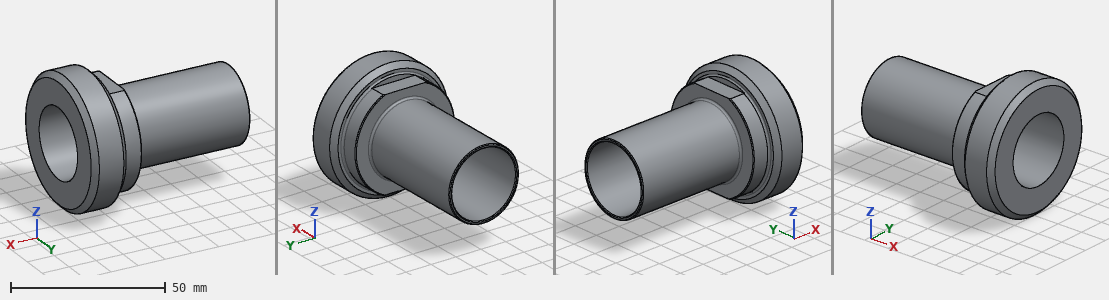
import cadquery as cq

total_length = 63.5
collar_start = 43.5
flange_start = 50.5
flats_end = 50.0

bore_diameter = 25.6
tube_diameter = 28.0
collar_diameter = 39.95
flange_diameter = 47.7
across_flats = 36.0

tube_chamfer = 0.3
bore_chamfer = 0.3
collar_chamfer = 0.3
flange_chamfer = 2.0
root_fillet = 0.75

tube_radius = tube_diameter / 2
collar_radius = collar_diameter / 2
flange_radius = flange_diameter / 2


def cylinder(radius, start, end):
    """Solid cylinder around the X axis between two axial positions."""
    return cq.Workplane("YZ", origin=(start, 0, 0)).circle(radius).extrude(end - start)


def turned_body():
    """Tube, collar and flange with their chamfers and root fillets."""
    profile = (
        cq.Workplane("XY")
        .moveTo(0, 0)
        .lineTo(0, tube_radius - tube_chamfer)
        .lineTo(tube_chamfer, tube_radius)
        .lineTo(collar_start - root_fillet, tube_radius)
        .radiusArc((collar_start, tube_radius + root_fillet), -root_fillet)
        .lineTo(collar_start, collar_radius - collar_chamfer)
        .lineTo(collar_start + collar_chamfer, collar_radius)
        .lineTo(flange_start - root_fillet, collar_radius)
        .radiusArc((flange_start, collar_radius + root_fillet), -root_fillet)
        .lineTo(flange_start, flange_radius - flange_chamfer)
        .lineTo(flange_start + flange_chamfer, flange_radius)
        .lineTo(total_length - flange_chamfer, flange_radius)
        .lineTo(total_length, flange_radius - flange_chamfer)
        .lineTo(total_length, 0)
        .close()
    )
    return profile.revolve(360, (0, 0, 0), (1, 0, 0))


def flat_cutter(side):
    """Block that removes the collar beyond one wrench flat; side is +1 or -1."""
    cut_height = flange_radius - across_flats / 2
    center_z = side * (across_flats + cut_height) / 2
    return (
        cq.Workplane("XY", origin=(collar_start, 0, center_z))
        .box(flats_end - collar_start, flange_diameter, cut_height, centered=(False, True, True))
    )


body = turned_body()
for side in (1, -1):
    body = body.cut(flat_cutter(side))

bored = body.cut(cylinder(bore_diameter / 2, 0, total_length))
tube_mouth = bored.faces("<X").edges(cq.selectors.RadiusNthSelector(0))
result = tube_mouth.chamfer(bore_chamfer)